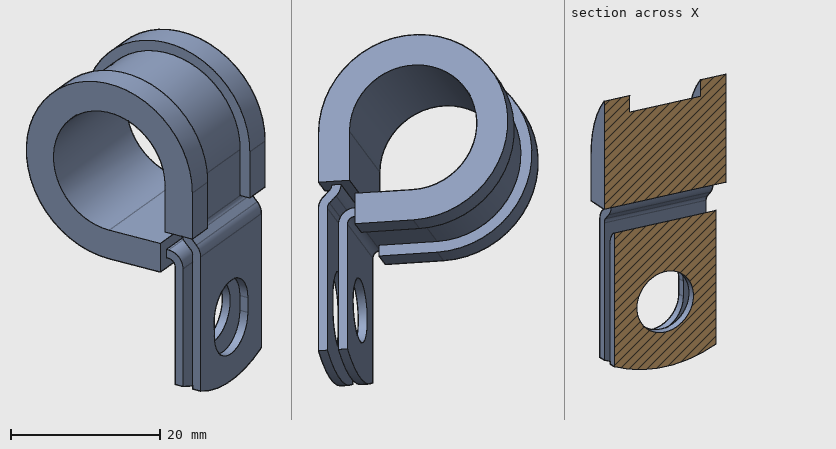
import cadquery as cq
import math

CUSHION_WIDTH = 18.92
CUSHION_RADIUS = 13.0
BORE_RADIUS = 8.73
RIM_WIDTH = 4.0
VERTICAL_LEG_END = 6.85
HORIZONTAL_LEG_END = 8.0

STRAP_RADIUS = 11.5
STRAP_THICKNESS = 1.25
STRAP_WIDTH = 15.8
INNER_BEND_RADIUS = 1.0
OUTER_BEND_RADIUS = INNER_BEND_RADIUS + STRAP_THICKNESS
STRAP_INNER_RADIUS = STRAP_RADIUS - STRAP_THICKNESS

LEFT_TAB_OUTER_X = 9.35
RIGHT_TAB_OUTER_X = 13.36
OVERALL_HEIGHT = 44.67
TAB_BOTTOM_Z = CUSHION_RADIUS - OVERALL_HEIGHT
TAB_CORNER_Z = -30.0
HOLE_DIAMETER = 8.7
SLOT_LENGTH = 10.9
HOLE_Z = -22.2

JOG_ANGLE = math.radians(45)


def extrude_centred(profile, width):
    """Extrude an XZ profile by half the width to each side of the XZ plane."""
    return profile.extrude(width / 2, both=True)


def hook(outer_radius, inner_radius, width):
    """Three-quarter ring with straight legs running down and to the right."""
    profile = (
        cq.Workplane("XZ")
        .moveTo(outer_radius, -VERTICAL_LEG_END)
        .lineTo(outer_radius, 0)
        .threePointArc(arc_middle(outer_radius), (0, -outer_radius))
        .lineTo(HORIZONTAL_LEG_END, -outer_radius)
        .lineTo(HORIZONTAL_LEG_END, -inner_radius)
        .lineTo(0, -inner_radius)
        .threePointArc(arc_middle(inner_radius), (inner_radius, 0))
        .lineTo(inner_radius, -VERTICAL_LEG_END)
        .close()
    )
    return extrude_centred(profile, width)


def arc_middle(radius):
    """Middle of the three-quarter arc, on the upper left diagonal."""
    return (-radius * math.sqrt(0.5), radius * math.sqrt(0.5))


def polar(centre, radius, angle):
    """Point at the given radius and angle (from +X towards +Z) about a centre."""
    return (centre[0] + radius * math.cos(angle), centre[1] + radius * math.sin(angle))


def left_tab():
    """Strap end leaving the horizontal leg and turning a quarter turn down."""
    bend = (LEFT_TAB_OUTER_X - INNER_BEND_RADIUS, -STRAP_RADIUS - INNER_BEND_RADIUS)
    middle = math.radians(45)
    profile = (
        cq.Workplane("XZ")
        .moveTo(0, -STRAP_INNER_RADIUS)
        .lineTo(bend[0], -STRAP_INNER_RADIUS)
        .threePointArc(polar(bend, OUTER_BEND_RADIUS, middle), polar(bend, OUTER_BEND_RADIUS, 0))
        .lineTo(LEFT_TAB_OUTER_X + STRAP_THICKNESS, TAB_BOTTOM_Z)
        .lineTo(LEFT_TAB_OUTER_X, TAB_BOTTOM_Z)
        .lineTo(LEFT_TAB_OUTER_X, bend[1])
        .threePointArc(polar(bend, INNER_BEND_RADIUS, middle), (bend[0], -STRAP_RADIUS))
        .lineTo(0, -STRAP_RADIUS)
        .close()
    )
    return extrude_centred(profile, STRAP_WIDTH)


def right_tab():
    """Strap end leaving the vertical leg and jogging outwards through two equal bends."""
    bend_radii = INNER_BEND_RADIUS + OUTER_BEND_RADIUS
    jog_offset = RIGHT_TAB_OUTER_X - STRAP_RADIUS
    slope_length = (jog_offset - bend_radii * (1 - math.cos(JOG_ANGLE))) / math.sin(JOG_ANGLE)
    jog_height = bend_radii * math.sin(JOG_ANGLE) + slope_length * math.cos(JOG_ANGLE)
    jog_end_z = -VERTICAL_LEG_END - jog_height
    upper = (STRAP_RADIUS + INNER_BEND_RADIUS, -VERTICAL_LEG_END)
    lower = (RIGHT_TAB_OUTER_X - OUTER_BEND_RADIUS, jog_end_z)
    upper_end = math.pi + JOG_ANGLE
    upper_middle = math.pi + JOG_ANGLE / 2
    tab_inner_x = RIGHT_TAB_OUTER_X - STRAP_THICKNESS
    profile = (
        cq.Workplane("XZ")
        .moveTo(STRAP_RADIUS, 0)
        .lineTo(STRAP_RADIUS, upper[1])
        .threePointArc(
            polar(upper, INNER_BEND_RADIUS, upper_middle), polar(upper, INNER_BEND_RADIUS, upper_end)
        )
        .lineTo(*polar(lower, OUTER_BEND_RADIUS, JOG_ANGLE))
        .threePointArc(polar(lower, OUTER_BEND_RADIUS, JOG_ANGLE / 2), (RIGHT_TAB_OUTER_X, jog_end_z))
        .lineTo(RIGHT_TAB_OUTER_X, TAB_BOTTOM_Z)
        .lineTo(tab_inner_x, TAB_BOTTOM_Z)
        .lineTo(tab_inner_x, jog_end_z)
        .threePointArc(
            polar(lower, INNER_BEND_RADIUS, JOG_ANGLE / 2), polar(lower, INNER_BEND_RADIUS, JOG_ANGLE)
        )
        .lineTo(*polar(upper, OUTER_BEND_RADIUS, upper_end))
        .threePointArc(polar(upper, OUTER_BEND_RADIUS, upper_middle), (STRAP_INNER_RADIUS, upper[1]))
        .lineTo(STRAP_INNER_RADIUS, 0)
        .close()
    )
    return extrude_centred(profile, STRAP_WIDTH)


def tab_outline():
    """Block through both tabs with straight sides and a rounded lower end."""
    half_width = STRAP_WIDTH / 2
    return (
        cq.Workplane("YZ")
        .moveTo(-half_width, 0)
        .lineTo(-half_width, TAB_CORNER_Z)
        .threePointArc((0, TAB_BOTTOM_Z), (half_width, TAB_CORNER_Z))
        .lineTo(half_width, 0)
        .close()
        .extrude(RIGHT_TAB_OUTER_X)
    )


def bolt_hole():
    """Round cutter through the left-hand tab."""
    return (
        cq.Workplane("YZ", origin=(LEFT_TAB_OUTER_X, 0, HOLE_Z))
        .circle(HOLE_DIAMETER / 2)
        .extrude(STRAP_THICKNESS)
    )


def bolt_slot():
    """Upright slot cutter through the right-hand tab."""
    return (
        cq.Workplane("YZ", origin=(RIGHT_TAB_OUTER_X - STRAP_THICKNESS, 0, HOLE_Z))
        .slot2D(SLOT_LENGTH, HOLE_DIAMETER, 90)
        .extrude(STRAP_THICKNESS)
    )


def cushion_and_strap_loop():
    """Cushion with two full-height rims and the strap forming the floor of the groove."""
    groove_width = CUSHION_WIDTH - 2 * RIM_WIDTH
    rims = hook(CUSHION_RADIUS, STRAP_INNER_RADIUS, CUSHION_WIDTH).cut(
        hook(CUSHION_RADIUS, STRAP_INNER_RADIUS, groove_width)
    )
    strap_loop = hook(STRAP_RADIUS, STRAP_INNER_RADIUS, groove_width)
    lining = hook(STRAP_INNER_RADIUS, BORE_RADIUS, CUSHION_WIDTH)
    return lining.union(rims).union(strap_loop)


drilled_tabs = left_tab().cut(bolt_hole()).union(right_tab().cut(bolt_slot()))
tabs = drilled_tabs.intersect(tab_outline())
result = cushion_and_strap_loop().union(tabs).clean()